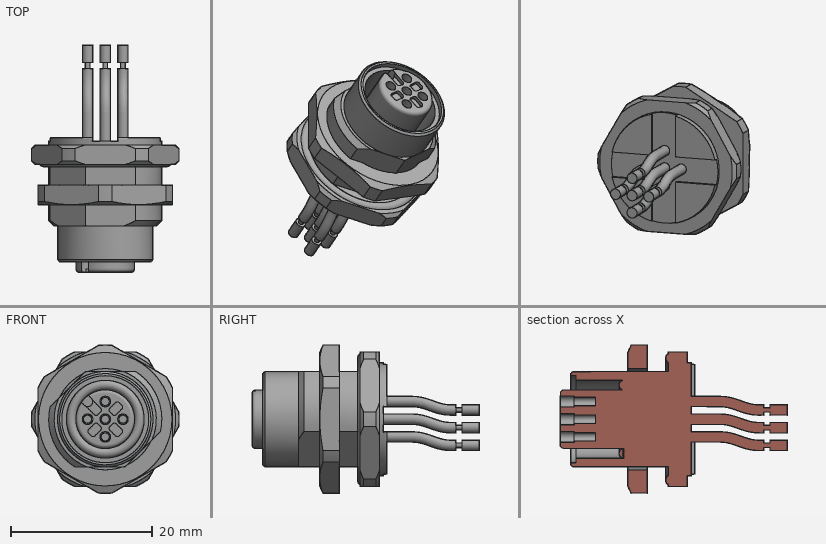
import cadquery as cq
import math

INSERT_RADIUS = 4.15
INSERT_FILLET = 0.5
GROOVE_RADIUS = 0.7
GROOVE_CENTRE = 3.5
GROOVE_ANGLE = 135
POCKET_ANGLES = [45, 135, 225, 315]
POCKET_WIDTH = 1.27
POCKET_INNER_END = 1.2
POCKET_OUTER_END = 3.05
POCKET_FILLET = 0.35
POCKET_DEPTH = 0.5

CONTACT_PITCH = 2.5
CONTACT_POSITIONS = [
    (0, 0),
    (CONTACT_PITCH, 0),
    (0, CONTACT_PITCH),
    (-CONTACT_PITCH, 0),
    (0, -CONTACT_PITCH),
]
SOCKET_MOUTH_RADIUS = 0.75
SOCKET_MOUTH_DEPTH = 2.0
SOCKET_BORE_RADIUS = 0.575
SOCKET_DEPTH = 5.0

SHELL_FRONT = 1.5
SHELL_RADIUS = 6.75
SHELL_CHAMFER = 0.3
RECESS_RADIUS = 6.15
RECESS_DEPTH = 0.75
BORE_RADIUS = 5.5
BORE_FLOOR = 9.0

BODY_FRONT = 6.55
BODY_RADIUS = 8.0
BODY_CHAMFER = 0.78
FLAT_DISTANCE = SHELL_RADIUS
FLAT_ANGLES = [90, 135, 270, 315]

NUT_FRONT = 9.55
NUT_REAR = 12.35
HEX_ACROSS_FLATS = 19.05
NUT_CORNER_RADIUS = 10.5
NUT_FACE_RADIUS = 9.43
NUT_CHAMFER_LENGTH = 0.48
NUT_BORE_RADIUS = 7.16

FLANGE_FRONT = 15.28
FLANGE_REAR = 18.0
FLANGE_CORNER_RADIUS = 10.45
FLANGE_CHAMFER = 0.5
SEAL_CENTRE_RADIUS = 8.65
SEAL_RADIUS = 0.75
SEAL_HEIGHT = 0.35

RIM_REAR = 19.05
RIM_CHAMFER_WIDTH = 0.06
RIM_CHAMFER_LENGTH = 0.2
RIM_SLOT_WIDTH = 3.64
RIM_SLOT_DEPTH = 0.5

WIRE_RADIUS = 0.75
CORE_RADIUS = 0.35
BEND_START = 22.6
BEND_END = 28.15
BEND_DROP = 1.2
SLEEVE_END = 28.8
TIP_START = 29.67
WIRE_END = 32.15


def cylinder(radius, front, rear, x=0, z=0):
    """Cylinder parallel to the Y axis."""
    start = cq.Vector(x, front, z)
    return cq.Workplane(cq.Solid.makeCylinder(radius, rear - front, start, cq.Vector(0, 1, 0)))


def turned(profile):
    """Solid of revolution about the Y axis from (radius, y) points."""
    return cq.Workplane("XY").polyline(profile).close().revolve(360, (0, 0), (0, 1))


def turn_about_axis(shape, angle):
    """Turn by an angle measured from +X towards +Z."""
    return shape.rotate((0, 0, 0), (0, 1, 0), -angle)


def ring(centre_radius, section_radius, y):
    """Torus around the Y axis."""
    section = cq.Workplane("XY").center(centre_radius, y).circle(section_radius)
    return section.revolve(360, (-centre_radius, 0), (-centre_radius, 1))


def hexagon(across_flats, front, rear, turn):
    """Hexagonal prism along Y, with two corners on the X axis before it is turned."""
    across_corners = across_flats / math.cos(math.radians(30))
    plane = cq.Workplane("XZ", origin=(0, front, 0))
    prism = plane.polygon(6, across_corners).extrude(front - rear)
    return turn_about_axis(prism, turn)


def make_shell_and_body():
    shell_rim = SHELL_RADIUS - SHELL_CHAMFER
    shell = turned([
        (0, SHELL_FRONT),
        (shell_rim, SHELL_FRONT),
        (SHELL_RADIUS, SHELL_FRONT + SHELL_CHAMFER),
        (SHELL_RADIUS, BODY_FRONT),
        (0, BODY_FRONT),
    ])
    body = turned([
        (0, BODY_FRONT),
        (BODY_RADIUS - BODY_CHAMFER, BODY_FRONT),
        (BODY_RADIUS, BODY_FRONT + BODY_CHAMFER),
        (BODY_RADIUS, FLANGE_FRONT),
        (0, FLANGE_FRONT),
    ])
    for angle in FLAT_ANGLES:
        outside = cq.Workplane("XY").box(
            BODY_RADIUS, FLANGE_FRONT - BODY_FRONT, 2 * BODY_RADIUS, centered=(False, False, True)
        )
        outside = outside.translate((FLAT_DISTANCE, BODY_FRONT, 0))
        body = body.cut(turn_about_axis(outside, angle))
    bore = cylinder(BORE_RADIUS, SHELL_FRONT, BORE_FLOOR)
    recess = cylinder(RECESS_RADIUS, SHELL_FRONT, SHELL_FRONT + RECESS_DEPTH)
    return shell.union(body).cut(bore).cut(recess)


def make_insert():
    insert = cylinder(INSERT_RADIUS, 0, BORE_FLOOR).faces("<Y").edges().fillet(INSERT_FILLET)
    groove = cylinder(GROOVE_RADIUS, 0, BORE_FLOOR, GROOVE_CENTRE)
    groove_mouth = cq.Workplane("XY").box(
        INSERT_RADIUS, BORE_FLOOR, 2 * GROOVE_RADIUS, centered=(False, False, True)
    )
    groove = groove.union(groove_mouth.translate((GROOVE_CENTRE, 0, 0)))
    insert = insert.cut(turn_about_axis(groove, GROOVE_ANGLE))

    for angle in POCKET_ANGLES:
        outer_end = GROOVE_CENTRE if angle == GROOVE_ANGLE else POCKET_OUTER_END
        pocket = cq.Workplane("XY").box(
            outer_end - POCKET_INNER_END, POCKET_DEPTH, POCKET_WIDTH, centered=(False, False, True)
        )
        pocket = pocket.edges("|Y").fillet(POCKET_FILLET).translate((POCKET_INNER_END, 0, 0))
        insert = insert.cut(turn_about_axis(pocket, angle))

    for x, z in CONTACT_POSITIONS:
        insert = insert.cut(cylinder(SOCKET_MOUTH_RADIUS, 0, SOCKET_MOUTH_DEPTH, x, z))
        insert = insert.cut(cylinder(SOCKET_BORE_RADIUS, 0, SOCKET_DEPTH, x, z))
    return insert


def make_bore_seal():
    """Ring that fills the gap between the insert and the bore, half sunk in the bore floor."""
    section_radius = (BORE_RADIUS - INSERT_RADIUS) / 2
    return ring(INSERT_RADIUS + section_radius, section_radius, BORE_FLOOR)


def make_nut():
    envelope = turned([
        (0, NUT_FRONT),
        (NUT_FACE_RADIUS, NUT_FRONT),
        (NUT_CORNER_RADIUS, NUT_FRONT + NUT_CHAMFER_LENGTH),
        (NUT_CORNER_RADIUS, NUT_REAR),
        (0, NUT_REAR),
    ])
    nut = hexagon(HEX_ACROSS_FLATS, NUT_FRONT, NUT_REAR, 30).intersect(envelope)
    return nut.cut(cylinder(NUT_BORE_RADIUS, NUT_FRONT, NUT_REAR))


def make_flange():
    face_radius = FLANGE_CORNER_RADIUS - FLANGE_CHAMFER
    envelope = turned([
        (0, FLANGE_FRONT),
        (face_radius, FLANGE_FRONT),
        (FLANGE_CORNER_RADIUS, FLANGE_FRONT + FLANGE_CHAMFER),
        (FLANGE_CORNER_RADIUS, FLANGE_REAR - FLANGE_CHAMFER),
        (face_radius, FLANGE_REAR),
        (0, FLANGE_REAR),
    ])
    flange = hexagon(HEX_ACROSS_FLATS, FLANGE_FRONT, FLANGE_REAR, 0).intersect(envelope)
    seal_centre = FLANGE_FRONT + SEAL_RADIUS - SEAL_HEIGHT
    return flange.union(ring(SEAL_CENTRE_RADIUS, SEAL_RADIUS, seal_centre))


def make_rim():
    rim = turned([
        (0, FLANGE_REAR),
        (BODY_RADIUS, FLANGE_REAR),
        (BODY_RADIUS, RIM_REAR - RIM_CHAMFER_LENGTH),
        (BODY_RADIUS - RIM_CHAMFER_WIDTH, RIM_REAR),
        (0, RIM_REAR),
    ])
    slot = cq.Workplane("XY").box(
        2 * BODY_RADIUS, RIM_SLOT_DEPTH, RIM_SLOT_WIDTH, centered=(True, False, True)
    )
    slot = slot.translate((0, RIM_REAR - RIM_SLOT_DEPTH, 0))
    return rim.cut(slot).cut(turn_about_axis(slot, 90))


def make_wire(x, z):
    straight = cylinder(WIRE_RADIUS, FLANGE_REAR, BEND_START, x, z)
    z_end = z - BEND_DROP
    path = cq.Workplane("YZ", origin=(x, 0, 0)).spline(
        [(BEND_START, z), (BEND_END, z_end)], tangents=[(1, 0), (1, 0)]
    )
    bend = cq.Workplane("XZ", origin=(x, BEND_START, z)).circle(WIRE_RADIUS).sweep(path)
    wire = straight.union(bend)
    wire = wire.union(cylinder(WIRE_RADIUS, BEND_END, SLEEVE_END, x, z_end))
    wire = wire.union(cylinder(CORE_RADIUS, SLEEVE_END, TIP_START, x, z_end))
    return wire.union(cylinder(WIRE_RADIUS, TIP_START, WIRE_END, x, z_end))


result = make_shell_and_body().union(make_insert()).union(make_bore_seal())
result = result.union(make_nut()).union(make_flange()).union(make_rim())
for contact_x, contact_z in CONTACT_POSITIONS:
    result = result.union(make_wire(contact_x, contact_z))